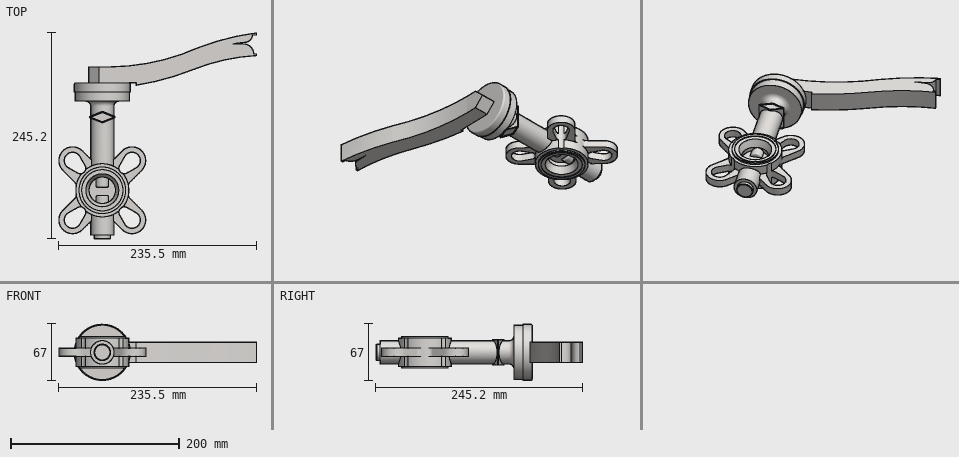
import cadquery as cq
import math


overall_length = 245.2

ring_radius = 31.6
ring_half_height = 17.0
rim_radius = 27.7
rim_half_height = 19.0
face_recess_radius = 24.5
face_recess_depth = 1.0
bore_mouth_radius = 19.5
throat_radius = 15.7
throat_half_height = 8.5
disc_half_thickness = 3.5

ear_angles = (45, 135, 225, 315)
ear_half_thickness = 5.0
ear_tip_distance = 35.3 * math.sqrt(2)
ear_tip_radius = 16.5
ear_root_fillet = 5.0
ear_hole_outer_radius = 9.8
ear_hole_inner_radius = 6.4
ear_hole_inner_distance = 37.0

tube_radius = 14.0
tube_end_y = -53.2
plug_radius = 9.8
plug_length = 4.7
plug_chamfer = 0.7
neck_fillet = 6.0
head_bottom_y = 106.0
head_step_y = 117.0
head_top_y = 127.7
lower_head_radius = 32.4
upper_head_radius = 67.0 / 2
head_edge_fillet = 2.0

journal_radius = 8.0
journal_fillet = 1.7
upper_journal_end_y = 3.5
lower_journal_end_y = -6.1

block_y = 87.0
block_half_width = 15.2
block_half_length = 6.9
block_half_height = 15.2
block_tip_half_width = 0.7
block_border = 1.2
block_recess_depth = 0.7

lever_half_thickness = 12.3
lever_pointer_x = -16.2
lever_back_y = 146.9
lever_bend_x = 9.8
lever_end_x = 183.7
lever_end_top_y = tube_end_y - plug_length + overall_length
lever_end_bottom_y = 160.0

clearance_x = 40.2
clearance_bottom_y = 124.8

underside_hollow = (73.5, 132.0)
underside_inflection = (107.5, 143.2)
underside_crown = (143.5, 154.5)
back_hollow = (62.0, 152.8)
back_inflection = (114.0, 169.7)
back_crown = (148.5, 180.7)

lower_lip_y = 162.3
lower_lobe_end_x = 180.2
lower_lobe_middle = (177.3, 170.0)
lower_lobe_start = (169.7, 174.0)
fork_root = (155.5, 174.0)
upper_lobe_start = (169.7, 175.8)
upper_lobe_middle = (176.5, 179.2)
upper_lobe_end_x = 178.8
upper_lip_y = 184.6


def cylinder_along_y(radius, start_y, end_y):
    """Cylinder on the stem axis between two Y positions."""
    return cq.Workplane("XZ", origin=(0, start_y, 0)).circle(radius).extrude(start_y - end_y)


def make_ring():
    """Solid ring blank with a narrower rim on each face."""
    ring = cq.Workplane("XY").circle(ring_radius).extrude(ring_half_height, both=True)
    rim = cq.Workplane("XY").circle(rim_radius).extrude(rim_half_height, both=True)
    return ring.union(rim)


def make_ear(angle):
    """Straight-sided ear with a round end, pointing along the given angle."""
    ear = (
        cq.Workplane("XY")
        .moveTo(0, -ear_tip_radius)
        .lineTo(ear_tip_distance, -ear_tip_radius)
        .threePointArc((ear_tip_distance + ear_tip_radius, 0), (ear_tip_distance, ear_tip_radius))
        .lineTo(0, ear_tip_radius)
        .close()
        .extrude(ear_half_thickness, both=True)
    )
    return ear.rotate((0, 0, 0), (0, 0, 1), angle)


def make_ear_hole(angle):
    """Tapered slot: two circles joined by their outer tangents, tall enough to groove the ring."""
    taper = math.asin(
        (ear_hole_outer_radius - ear_hole_inner_radius) / (ear_tip_distance - ear_hole_inner_distance)
    )

    def tangent_point(distance, radius, side):
        return (distance - radius * math.sin(taper), side * radius * math.cos(taper))

    hole = (
        cq.Workplane("XY")
        .moveTo(*tangent_point(ear_hole_inner_distance, ear_hole_inner_radius, -1))
        .lineTo(*tangent_point(ear_tip_distance, ear_hole_outer_radius, -1))
        .threePointArc(
            (ear_tip_distance + ear_hole_outer_radius, 0),
            tangent_point(ear_tip_distance, ear_hole_outer_radius, 1),
        )
        .lineTo(*tangent_point(ear_hole_inner_distance, ear_hole_inner_radius, 1))
        .threePointArc(
            (ear_hole_inner_distance - ear_hole_inner_radius, 0),
            tangent_point(ear_hole_inner_distance, ear_hole_inner_radius, -1),
        )
        .close()
        .extrude(rim_half_height, both=True)
    )
    return hole.rotate((0, 0, 0), (0, 0, 1), angle)


def make_eared_ring():
    """Ring with its four ears, rounded where the ear sides meet the ring, and their slots."""
    eared_ring = make_ring()
    for angle in ear_angles:
        eared_ring = eared_ring.union(make_ear(angle))

    def is_ear_root(edge):
        centre = edge.Center()
        ear_high = math.isclose(edge.Length(), 2 * ear_half_thickness, abs_tol=0.002)
        on_ring = math.isclose(math.hypot(centre.x, centre.y), ring_radius, abs_tol=0.002)
        return ear_high and on_ring

    ear_roots = eared_ring.edges("|Z").filter(is_ear_root)
    eared_ring = ear_roots.fillet(ear_root_fillet)
    for angle in ear_angles:
        eared_ring = eared_ring.cut(make_ear_hole(angle))
    return eared_ring


def make_stem():
    """Plug, tube, neck fillet and head, turned about the Y axis."""
    profile = (
        cq.Workplane("XY")
        .moveTo(0, tube_end_y - plug_length)
        .lineTo(plug_radius - plug_chamfer, tube_end_y - plug_length)
        .lineTo(plug_radius, tube_end_y - plug_length + plug_chamfer)
        .lineTo(plug_radius, tube_end_y)
        .lineTo(tube_radius, tube_end_y)
        .lineTo(tube_radius, head_bottom_y - neck_fillet)
        .radiusArc((tube_radius + neck_fillet, head_bottom_y), neck_fillet)
        .lineTo(lower_head_radius, head_bottom_y)
        .lineTo(lower_head_radius, head_step_y)
        .lineTo(upper_head_radius, head_step_y)
        .lineTo(upper_head_radius, head_top_y - head_edge_fillet)
        .radiusArc((upper_head_radius - head_edge_fillet, head_top_y), -head_edge_fillet)
        .lineTo(0, head_top_y)
        .close()
    )
    return profile.revolve(360, (0, 0, 0), (0, 1, 0))


def diamond(half_width, half_length, tip_half_width):
    """Diamond outline with its two X tips cut flat."""
    return cq.Workplane("XY").polyline(
        [
            (-half_width, -tip_half_width),
            (0, -half_length),
            (half_width, -tip_half_width),
            (half_width, tip_half_width),
            (0, half_length),
            (-half_width, tip_half_width),
        ]
    ).close()


def make_name_block():
    """Diamond block with a shallow bordered recess on its top and bottom faces."""
    outline = diamond(block_half_width, block_half_length, block_tip_half_width)
    block = outline.extrude(block_half_height, both=True)
    recess = (
        diamond(block_half_width, block_half_length, block_tip_half_width)
        .offset2D(-block_border)
        .extrude(block_recess_depth)
    )
    floor_z = block_half_height - block_recess_depth
    block = block.cut(recess.translate((0, 0, floor_z)))
    block = block.cut(recess.translate((0, 0, -block_half_height)))
    return block.translate((0, block_y, 0))


def make_bore():
    """Flow bore: a recess in each face, a tapered mouth and a straight throat."""
    mouth_z = rim_half_height - face_recess_depth
    profile = (
        cq.Workplane("XZ")
        .moveTo(0, -rim_half_height)
        .lineTo(face_recess_radius, -rim_half_height)
        .lineTo(face_recess_radius, -mouth_z)
        .lineTo(bore_mouth_radius, -mouth_z)
        .lineTo(throat_radius, -throat_half_height)
        .lineTo(throat_radius, throat_half_height)
        .lineTo(bore_mouth_radius, mouth_z)
        .lineTo(face_recess_radius, mouth_z)
        .lineTo(face_recess_radius, rim_half_height)
        .lineTo(0, rim_half_height)
        .close()
    )
    return profile.revolve(360, (0, 0, 0), (0, 1, 0))


def make_closing_disc():
    """Disc that fills the throat, with a round-ended stem journal on each side."""
    disc = cq.Workplane("XY").circle(throat_radius).extrude(disc_half_thickness, both=True)
    upper = cylinder_along_y(journal_radius, upper_journal_end_y, ring_radius)
    upper = upper.faces("<Y").edges().fillet(journal_fillet)
    lower = cylinder_along_y(journal_radius, -ring_radius, lower_journal_end_y)
    lower = lower.faces(">Y").edges().fillet(journal_fillet)
    return disc.union(upper).union(lower)


def make_housing():
    """Ring, ears, stem, name block and closed disc as one solid."""
    housing = make_eared_ring().union(make_stem()).union(make_name_block())
    return housing.cut(make_bore()).union(make_closing_disc())


def make_lever():
    """S-curved lever lying on the stem head, with a pointed end and a forked tip."""
    sides = (
        cq.Workplane("XY")
        .moveTo(lever_pointer_x, head_top_y)
        .lineTo(clearance_x, head_top_y)
        .lineTo(clearance_x, clearance_bottom_y)
        .threePointArc(underside_hollow, underside_inflection)
        .threePointArc(underside_crown, (lever_end_x, lever_end_bottom_y))
        .lineTo(lever_end_x, lower_lip_y)
        .lineTo(lower_lobe_end_x, lower_lip_y)
        .threePointArc(lower_lobe_middle, lower_lobe_start)
        .lineTo(*fork_root)
        .lineTo(*upper_lobe_start)
        .threePointArc(upper_lobe_middle, (upper_lobe_end_x, upper_lip_y))
        .lineTo(lever_end_x, upper_lip_y)
        .lineTo(lever_end_x, lever_end_top_y)
        .threePointArc(back_crown, back_inflection)
        .threePointArc(back_hollow, (lever_bend_x, lever_back_y))
        .lineTo(lever_pointer_x, lever_back_y)
        .close()
        .extrude(lever_half_thickness, both=True)
    )
    shoulder_x = lever_pointer_x + lever_half_thickness
    plan = (
        cq.Workplane("XZ")
        .polyline(
            [
                (lever_pointer_x, 0),
                (shoulder_x, -lever_half_thickness),
                (lever_end_x, -lever_half_thickness),
                (lever_end_x, lever_half_thickness),
                (shoulder_x, lever_half_thickness),
            ]
        )
        .close()
        .extrude(-lever_end_top_y)
    )
    return sides.intersect(plan)


housing = make_housing()
lever = make_lever()

result = cq.Compound.makeCompound([housing.solids().val(), lever.solids().val()])